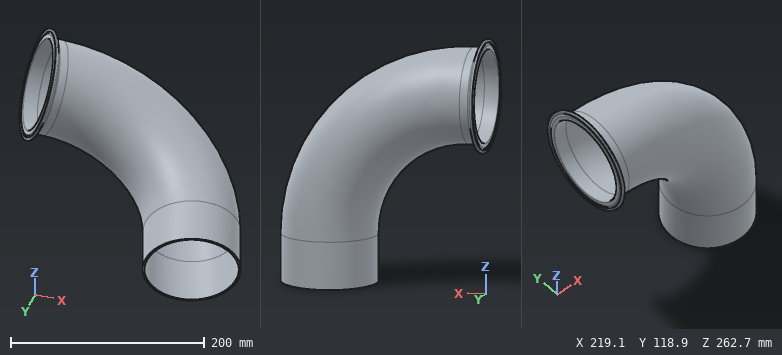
import cadquery as cq
import math

TUBE_OD = 101.6
BORE = 97.38
BEND_RADIUS = 152.4
BEND_ANGLE = 90.0
OUTLET_LENGTH = 50.8
FERRULE_LENGTH = 15.875

RIM_OD = 118.92
RIM_THICKNESS = 2.85
FRONT_RIM_ROUND = 0.5
BACK_RIM_ROUND = 0.8
CLAMP_ANGLE = 20.0
ROOT_FILLET = 1.6
BORE_ROUND = 0.4

GROOVE_DIAMETER = 110.3
GROOVE_WIDTH = 2.65
GROOVE_DEPTH = 0.85
GROOVE_LIP_ROUND = 0.8

FULL_TURN = 360.0
MATCH_TOLERANCE = 0.001

TUBE_RADIUS = TUBE_OD / 2
BORE_RADIUS = BORE / 2
RIM_RADIUS = RIM_OD / 2
GROOVE_RADIUS = GROOVE_DIAMETER / 2
GROOVE_INNER = GROOVE_RADIUS - GROOVE_WIDTH / 2
GROOVE_OUTER = GROOVE_RADIUS + GROOVE_WIDTH / 2
SLOPE_LENGTH = (RIM_RADIUS - TUBE_RADIUS) * math.tan(math.radians(CLAMP_ANGLE))
ROOT_X = RIM_THICKNESS + SLOPE_LENGTH
OUTLET_X = FERRULE_LENGTH + BEND_RADIUS



def turned_about_x(profile):
    """Revolve a closed XZ profile a full turn about the X axis."""
    return profile.revolve(FULL_TURN, (0, 0, 0), (1, 0, 0))


def circle_at(x, radius):
    """Filter that keeps the circular edges of one radius at one X position."""
    def matches(edge):
        if edge.geomType() != "CIRCLE":
            return False
        same_place = abs(edge.Center().x - x) < MATCH_TOLERANCE
        same_size = abs(edge.radius() - radius) < MATCH_TOLERANCE
        return same_place and same_size

    return matches


def make_ferrule():
    """Clamp ferrule with a rounded rim, a sloped back and a gasket groove."""
    profile = (
        cq.Workplane("XZ")
        .moveTo(0, BORE_RADIUS)
        .lineTo(0, RIM_RADIUS)
        .lineTo(RIM_THICKNESS, RIM_RADIUS)
        .lineTo(ROOT_X, TUBE_RADIUS)
        .lineTo(FERRULE_LENGTH, TUBE_RADIUS)
        .lineTo(FERRULE_LENGTH, BORE_RADIUS)
        .close()
    )
    ferrule = turned_about_x(profile).cut(make_gasket_groove())
    rounded_circles = (
        (ROOT_X, TUBE_RADIUS, ROOT_FILLET),
        (RIM_THICKNESS, RIM_RADIUS, BACK_RIM_ROUND),
        (0, RIM_RADIUS, FRONT_RIM_ROUND),
        (0, GROOVE_OUTER, GROOVE_LIP_ROUND),
        (0, GROOVE_INNER, GROOVE_LIP_ROUND),
        (0, BORE_RADIUS, BORE_ROUND),
    )
    for x, radius, rounding in rounded_circles:
        ferrule = ferrule.edges().filter(circle_at(x, radius)).fillet(rounding)
    return ferrule


def make_gasket_groove():
    """Ring with an arc section, sunk into the clamp face."""
    profile = (
        cq.Workplane("XZ")
        .moveTo(0, GROOVE_INNER)
        .threePointArc((GROOVE_DEPTH, GROOVE_RADIUS), (0, GROOVE_OUTER))
        .close()
    )
    return turned_about_x(profile)


def make_bend():
    """Quarter-turn tube that carries the inlet axis round to point down."""
    return (
        cq.Workplane("YZ", origin=(FERRULE_LENGTH, 0, 0))
        .circle(TUBE_RADIUS)
        .circle(BORE_RADIUS)
        .revolve(BEND_ANGLE, (0, -BEND_RADIUS), (1, -BEND_RADIUS))
    )


def make_outlet():
    """Straight tube that continues downward from the end of the bend."""
    return (
        cq.Workplane("XY", origin=(OUTLET_X, 0, -BEND_RADIUS))
        .circle(TUBE_RADIUS)
        .circle(BORE_RADIUS)
        .extrude(-OUTLET_LENGTH)
    )


result = make_ferrule().union(make_bend()).union(make_outlet())